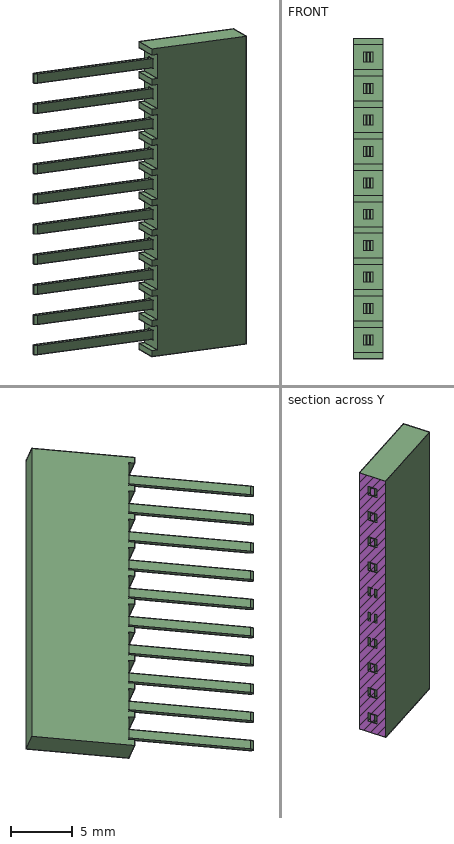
import cadquery as cq

width = 2.4
height = 25.9
body_length = 8.5
pin_reach = 10.03

pin_count = 10
pitch = 2.55
row_height = pin_count * pitch

rib_thickness = height - row_height
rib_depth = 0.5

pin_width = 0.4
pin_height = 0.78
tip_length = 0.25
tip_width = 0.2

pocket_size = 0.8
pocket_depth = 1.0

floor_y = rib_depth
pocket_floor_y = floor_y + pocket_depth
tip_y = -pin_reach


def box_at(size_x, size_z, start_y, end_y, center_z):
    """Box centred on X = 0 that spans start_y to end_y."""
    center_y = (start_y + end_y) / 2
    return cq.Workplane("XY").box(size_x, end_y - start_y, size_z).translate((0, center_y, center_z))


def make_pin(center_z):
    """Blade from the pocket floor to a tip tapered on its two wide sides."""
    half = pin_width / 2
    half_tip = tip_width / 2
    shoulder_y = tip_y + tip_length
    outline = [
        (-half, pocket_floor_y),
        (-half, shoulder_y),
        (-half_tip, tip_y),
        (half_tip, tip_y),
        (half, shoulder_y),
        (half, pocket_floor_y),
    ]
    bottom_z = center_z - pin_height / 2
    return cq.Workplane("XY").workplane(offset=bottom_z).polyline(outline).close().extrude(pin_height)


result = box_at(width, height, floor_y, body_length, 0)

for index in range(pin_count + 1):
    rib_z = index * pitch - row_height / 2
    result = result.union(box_at(width, rib_thickness, 0, floor_y, rib_z))

for index in range(pin_count):
    pin_z = (index + 0.5) * pitch - row_height / 2
    result = result.cut(box_at(pocket_size, pocket_size, floor_y, pocket_floor_y, pin_z))
    result = result.union(make_pin(pin_z))